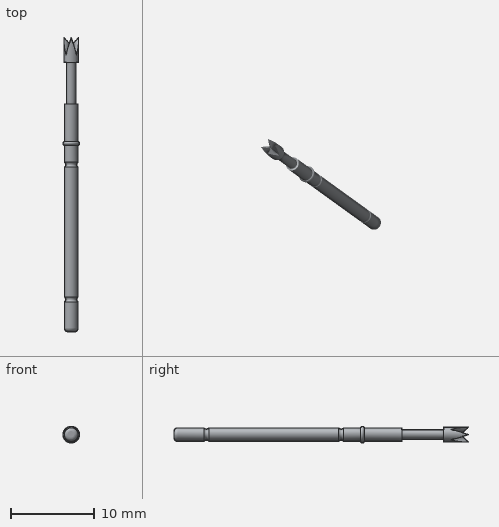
import cadquery as cq
import math

overall_length = 35.4

crown_radius = 0.9
crown_length = 3.0
tooth_count = 4
ridge_drop = 0.95
valley_depth = 2.1

plunger_radius = 0.6
sleeve_radius = 0.825
sleeve_mouth_from_tip = 8.0
tail_round = 0.43

ring_radius = 1.0
ring_width = 0.5
ring_center_from_tip = 12.75

groove_depth = 0.15
groove_width = 0.6
groove_centers_from_tip = (15.3, 31.5)

crown_base = overall_length - crown_length
sleeve_mouth = overall_length - sleeve_mouth_from_tip


def make_cylinder(radius, start, end):
    """Solid cylinder on the Y axis from start to end."""
    return cq.Workplane("XZ", origin=(0, start, 0)).circle(radius).extrude(start - end)


def spin(profile):
    """Turn a closed XY profile once around the Y axis."""
    return profile.revolve(360, (0, 0, 0), (0, 1, 0))


def make_sleeve():
    """Plain round body with a rounded tail edge."""
    sleeve = make_cylinder(sleeve_radius, 0, sleeve_mouth)
    return sleeve.faces("<Y").edges().fillet(tail_round)


def make_press_ring():
    """Band with a half-round rim."""
    center = overall_length - ring_center_from_tip
    half_width = ring_width / 2
    rim_start = ring_radius - half_width
    return spin(
        cq.Workplane("XY")
        .moveTo(0, center - half_width)
        .lineTo(rim_start, center - half_width)
        .threePointArc((ring_radius, center), (rim_start, center + half_width))
        .lineTo(0, center + half_width)
        .close()
    )


def make_groove(center):
    """Material removed by one groove with a circular-arc section."""
    half_width = groove_width / 2
    floor_radius = sleeve_radius - groove_depth
    return spin(
        cq.Workplane("XY")
        .moveTo(sleeve_radius, center - half_width)
        .threePointArc((floor_radius, center), (sleeve_radius, center + half_width))
        .close()
    )


def make_tooth(angle):
    """Sharp roof whose ridge falls from the crown rim to the axis, turned by angle about Y."""
    half_pitch = math.pi / tooth_count
    valley_along_ridge = crown_radius * math.cos(half_pitch)
    valley_beside_ridge = crown_radius * math.sin(half_pitch)
    ridge_drop_at_valley = ridge_drop * (1 - valley_along_ridge / crown_radius)
    flank_slope = (valley_depth - ridge_drop_at_valley) / valley_beside_ridge

    height = crown_length + ridge_drop
    half_base = height / flank_slope
    base = overall_length - height
    outline = cq.Wire.makePolygon(
        [
            cq.Vector(crown_radius, overall_length, 0),
            cq.Vector(crown_radius, base, half_base),
            cq.Vector(crown_radius, base, -half_base),
        ],
        close=True,
    )
    rim_to_axis = cq.Vector(-crown_radius, -ridge_drop, 0)
    roof = cq.Solid.extrudeLinear(outline, [], rim_to_axis)
    return cq.Workplane(roof).rotate((0, 0, 0), (0, 1, 0), angle)


def make_crown():
    """Cylindrical head trimmed to the joined tooth roofs."""
    teeth = make_tooth(0)
    for index in range(1, tooth_count):
        teeth = teeth.union(make_tooth(index * 360 / tooth_count))
    return make_cylinder(crown_radius, crown_base, overall_length).intersect(teeth)


sleeve = make_sleeve().union(make_press_ring())
for groove_center_from_tip in groove_centers_from_tip:
    sleeve = sleeve.cut(make_groove(overall_length - groove_center_from_tip))

plunger = make_cylinder(plunger_radius, sleeve_mouth, crown_base)
result = sleeve.union(plunger).union(make_crown())